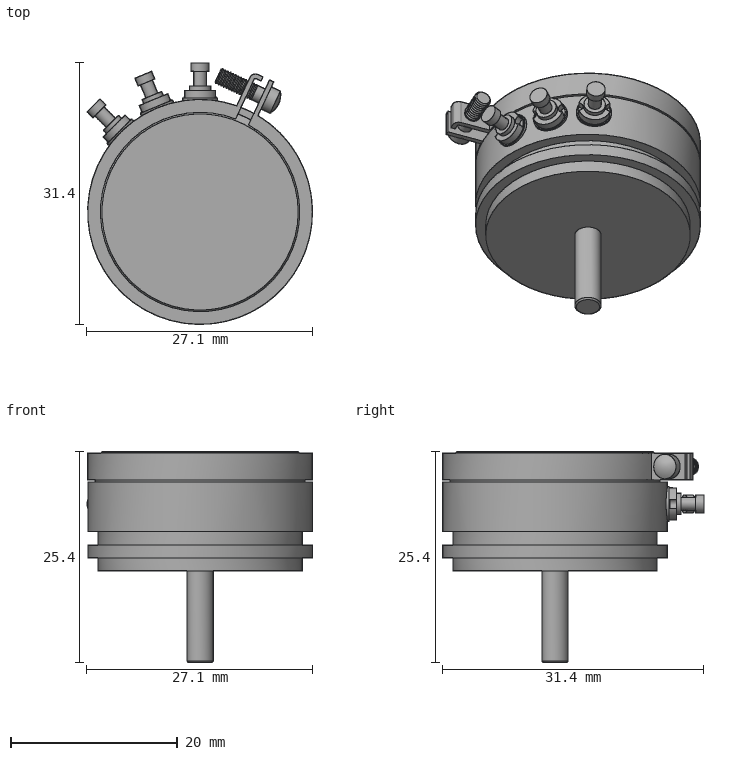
import cadquery as cq
import math

shaft_length = 11.02
step_height = 1.57
flange_height = 1.55
groove_height = 1.6
body_height = 5.97
clamp_gap = 0.25
clamp_height = 3.2
cap_rise = 0.2

flange_base = step_height
groove_base = flange_base + flange_height
body_base = groove_base + groove_height
body_top = body_base + body_height
clamp_base = body_top + clamp_gap
clamp_top = clamp_base + clamp_height
cap_top = clamp_top + cap_rise

shaft_radius = 3.17 / 2
shaft_chamfer = 0.2
step_radius = 12.28
body_radius = 13.5
clamp_radius = body_radius
cap_radius = 12.63
cap_chamfer = 0.85

clamp_angle = 25.0
ear_gap = 1.7
ear_thickness = 0.55
ear_tip = 17.9
ear_inner = ear_gap / 2
ear_outer = ear_inner + ear_thickness
ear_overlap = 0.3
ear_root = math.sqrt(clamp_radius**2 - ear_outer**2) - ear_overlap
hook_radius = 0.75

screw_out = 15.77
screw_height = clamp_base + clamp_height / 2
thread_radius = 1.0
thread_root_radius = 0.85
thread_pitch = 0.35
thread_start = -0.13
thread_count = 14
shank_radius = 0.95
head_radius = 1.48
head_height = 1.2
dome_height = 0.47

terminal_tips = ((0.0, 17.9), (-22.5, 17.85), (-45.0, 18.1))
terminal_height = 8.05
terminal_overlap = 0.63
terminal_root = body_radius - terminal_overlap
terminal_flange_radius = 2.1
terminal_flange_end = 13.7
nut_radius = 1.95
nut_end = 14.6
collar_radius = 1.3
collar_end = 15.15
stem_radius = 0.8
terminal_head_radius = 1.1
terminal_head_height = 1.0
notch_radius = 0.55
notch_rim = 0.13
notch_floor = terminal_flange_end + notch_rim


def disc(radius, base, top):
    return cq.Workplane("XY").workplane(offset=base).circle(radius).extrude(top - base)


def turn_clockwise(shape, angle):
    return shape.rotate((0, 0, 0), (0, 0, 1), -angle)


def make_housing():
    housing = disc(step_radius, 0, body_base)
    housing = housing.union(disc(body_radius, flange_base, groove_base))
    housing = housing.union(disc(body_radius, body_base, body_top))
    cap = disc(cap_radius, body_base, cap_top).faces(">Z").chamfer(cap_chamfer)
    shaft = disc(shaft_radius, -shaft_length, step_height).faces("<Z").chamfer(shaft_chamfer)
    return housing.union(cap).union(shaft)


def make_clamp():
    """Split ring with a hooked ear and a straight ear, built with the split facing +Y."""
    plane = cq.Workplane("XY").workplane(offset=clamp_base)
    slot = plane.center(0, clamp_radius).rect(ear_gap, clamp_radius).extrude(clamp_height)
    inner_radius = cap_radius - cap_chamfer + cap_rise
    ring = plane.circle(clamp_radius).circle(inner_radius).extrude(clamp_height).cut(slot)
    straight_ear = (
        plane.moveTo(ear_inner, ear_root)
        .lineTo(ear_outer, ear_root)
        .lineTo(ear_outer, ear_tip)
        .lineTo(ear_inner, ear_tip)
        .close()
        .extrude(clamp_height)
    )
    inner_bend = hook_radius - ear_thickness
    hook_inside = ear_tip - ear_thickness
    hooked_ear = (
        plane.moveTo(-ear_inner, ear_root)
        .lineTo(-ear_outer, ear_root)
        .lineTo(-ear_outer, ear_tip - hook_radius)
        .radiusArc((-ear_outer + hook_radius, ear_tip), hook_radius)
        .lineTo(0, ear_tip)
        .lineTo(0, hook_inside)
        .lineTo(-ear_inner + inner_bend, hook_inside)
        .radiusArc((-ear_inner, hook_inside - inner_bend), -inner_bend)
        .close()
        .extrude(clamp_height)
    )
    return ring.union(straight_ear).union(hooked_ear)


def make_screw():
    """Screw along X, turned from a half profile of (X, radius) points."""
    head_end = ear_outer + head_height
    dome_end = head_end + dome_height
    dome_radius = (head_radius**2 + dome_height**2) / (2 * dome_height)
    profile = (
        cq.Workplane("XY")
        .moveTo(dome_end, 0)
        .radiusArc((head_end, head_radius), -dome_radius)
        .lineTo(ear_outer, head_radius)
        .lineTo(ear_outer, shank_radius)
        .lineTo(thread_start, shank_radius)
        .lineTo(thread_start, thread_root_radius)
    )
    for turn in range(thread_count):
        root = thread_start - turn * thread_pitch
        profile = profile.lineTo(root - thread_pitch / 2, thread_radius)
        profile = profile.lineTo(root - thread_pitch, thread_root_radius)
    thread_end = thread_start - thread_count * thread_pitch
    profile = profile.lineTo(thread_end, 0).close()
    screw = profile.revolve(360, (0, 0, 0), (1, 0, 0))
    return screw.translate((0, screw_out, screw_height))


def make_terminal(tip):
    """Stepped terminal pointing along +Y, with a wrench notch on each side of its nut."""
    stages = (
        (terminal_flange_radius, terminal_flange_end),
        (nut_radius, nut_end),
        (collar_radius, collar_end),
        (stem_radius, tip - terminal_head_height),
        (terminal_head_radius, tip),
    )
    terminal = cq.Workplane("XY")
    start = terminal_root
    for radius, end in stages:
        stage = cq.Workplane("XZ", origin=(0, start, 0)).circle(radius).extrude(start - end)
        terminal = terminal.union(stage)
        start = end
    notches = (
        cq.Workplane("XZ", origin=(0, notch_floor, 0))
        .pushPoints([(-nut_radius, 0), (nut_radius, 0)])
        .circle(notch_radius)
        .extrude(notch_floor - nut_end)
    )
    return terminal.cut(notches).translate((0, 0, terminal_height))


result = make_housing()
result = result.union(turn_clockwise(make_clamp().union(make_screw()), clamp_angle))
for angle, tip in terminal_tips:
    result = result.union(turn_clockwise(make_terminal(tip), angle))